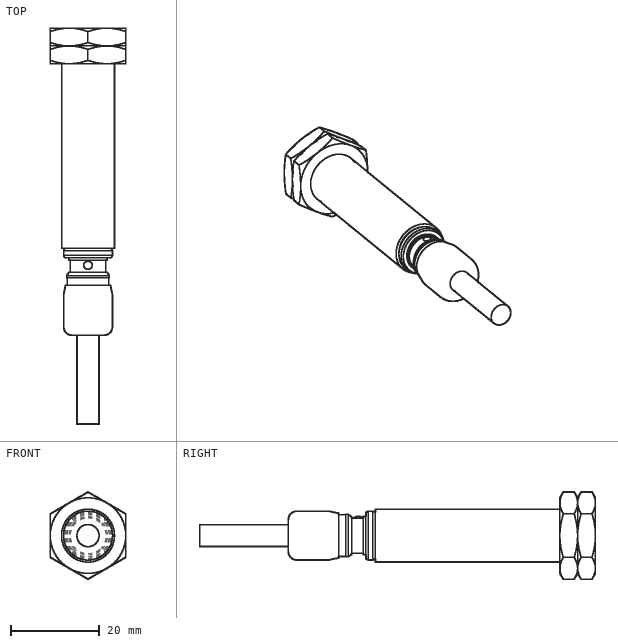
import cadquery as cq
import math

total_length = 89.2

head_length = 8.0
nut_count = 2
nut_length = head_length / nut_count
across_flats = 17.0
across_corners = across_flats / math.cos(math.radians(30))
nut_chamfer_angle = 30.0

body_radius = 6.0
body_start = 39.6
body_end = total_length - head_length

ring_radius = 5.5
ring_start = 37.5
ring_chamfer = 0.5
ring_chamfer_depth = 0.3

neck_radius = 4.0
neck_start = 34.25
collar_radius = 4.4
collar_length = 0.5

cap_start = 20.0
cap_radius = 5.5
cap_rounding = 2.0
shoulder_start = 29.2
sleeve_start = 31.3
shoulder_end_radius = 5.1
sleeve_radius = 4.7
sleeve_end = 33.45
sleeve_lip_length = 0.5
sleeve_lip_radius = 4.8
sleeve_tip_radius = 4.3

cable_radius = 2.5

lamp_radius = 1.25
lamp_position = 35.8
lamp_projection = 0.4


def make_turned_parts():
    """Revolve the cable, cap, neck, end ring and body around the Y axis."""
    rounding_center_radius = cap_radius - cap_rounding
    rounding_center_y = cap_start + cap_rounding
    half_diagonal = cap_rounding * math.sqrt(0.5)
    return (
        cq.Workplane("XY")
        .moveTo(0, 0)
        .lineTo(cable_radius, 0)
        .lineTo(cable_radius, cap_start)
        .lineTo(rounding_center_radius, cap_start)
        .threePointArc(
            (rounding_center_radius + half_diagonal, rounding_center_y - half_diagonal),
            (cap_radius, rounding_center_y),
        )
        .lineTo(cap_radius, shoulder_start)
        .lineTo(shoulder_end_radius, sleeve_start)
        .lineTo(sleeve_radius, sleeve_start)
        .lineTo(sleeve_radius, sleeve_end - sleeve_lip_length)
        .lineTo(sleeve_lip_radius, sleeve_end - sleeve_lip_length)
        .lineTo(sleeve_lip_radius, sleeve_end)
        .lineTo(sleeve_tip_radius, neck_start)
        .lineTo(neck_radius, neck_start)
        .lineTo(neck_radius, ring_start - collar_length)
        .lineTo(collar_radius, ring_start - collar_length)
        .lineTo(collar_radius, ring_start)
        .lineTo(ring_radius - ring_chamfer_depth, ring_start)
        .lineTo(ring_radius, ring_start + ring_chamfer)
        .lineTo(ring_radius, body_start - ring_chamfer)
        .lineTo(ring_radius - ring_chamfer_depth, body_start)
        .lineTo(body_radius, body_start)
        .lineTo(body_radius, body_end)
        .lineTo(0, body_end)
        .close()
        .revolve(360, (0, 0, 0), (0, 1, 0))
    )


def make_nut(start):
    """Hexagonal prism with corners on +Z and -Z, cone-chamfered at both ends."""
    end = start + nut_length
    flat_radius = across_flats / 2
    corner_radius = across_corners / 2
    chamfer_length = (corner_radius - flat_radius) * math.tan(math.radians(nut_chamfer_angle))
    prism = (
        cq.Workplane("XZ", origin=(0, start, 0))
        .transformed(rotate=(0, 0, 90))
        .polygon(6, across_corners)
        .extrude(-nut_length)
    )
    chamfer_envelope = (
        cq.Workplane("XY")
        .moveTo(0, start)
        .lineTo(flat_radius, start)
        .lineTo(corner_radius, start + chamfer_length)
        .lineTo(corner_radius, end - chamfer_length)
        .lineTo(flat_radius, end)
        .lineTo(0, end)
        .close()
        .revolve(360, (0, 0, 0), (0, 1, 0))
    )
    return prism.intersect(chamfer_envelope)


def make_lamp():
    center_height = neck_radius + lamp_projection - lamp_radius
    return cq.Workplane("XY", origin=(0, lamp_position, center_height)).sphere(lamp_radius)


result = make_turned_parts().union(make_lamp())
for nut_index in range(nut_count):
    result = result.union(make_nut(body_end + nut_index * nut_length))